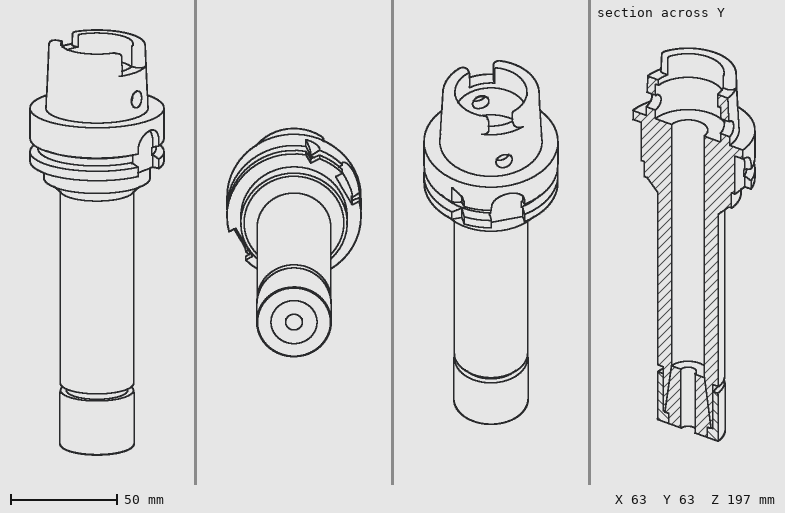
import cadquery as cq
import math


total_height = 197.0
flange_top = 165.3
flange_bottom = 139.3
collar_bottom = 131.0
shank_bottom = 30.1
nut_height = 26.5

taper_base_radius = 24.0
taper_top_radius = 22.7
rim_fillet = 1.0
drive_slot_width = 12.2
drive_slot_corner = 2.8
left_drive_slot_depth = 6.1
right_drive_slot_depth = 9.8
cross_hole_radius = 4.0
cross_hole_height = total_height - 23.0

socket_radius = 17.0
socket_straight_depth = 13.0
undercut_radius = 18.5
socket_floor = flange_top
bore_radius = 9.3

flange_radius = 31.5
groove_height = 147.2
groove_radius = 27.8
groove_mouth_width = 6.5
groove_floor_width = 3.5
keyway_radius = 8.0
keyway_arch_top = 160.2
keyway_floor = 26.8
notch_centre_y = 27.8
notch_floor = 19.9

collar_radius = 25.0
shank_radius = 17.3
cone_top_radius = 23.5
nose_radius = 14.4

nut_radius = 17.5
nut_top_chamfer_height = 1.8
nut_top_chamfer_width = 0.4
nut_edge_chamfer = 0.4
nut_floor = 6.0
nut_mouth_radius = 10.8
collet_hole_radius = 4.0
collet_shoulder_radius = 13.0
collet_half_angle = 8.0
collet_taper_length = (collet_shoulder_radius - bore_radius) / math.tan(math.radians(collet_half_angle))
collet_top = nut_floor + collet_taper_length


def revolve(profile):
    """Turn a closed (radius, height) outline around the Z axis."""
    return cq.Workplane("XZ").polyline(profile).close().revolve(360, (0, 0, 0), (0, 1, 0))


def make_taper():
    """Solid taper with a drive slot on each side and rounded slot corners."""
    taper = revolve([
        (0, flange_top),
        (taper_base_radius, flange_top),
        (taper_top_radius, total_height),
        (0, total_height),
    ])
    for side, depth in ((-1, left_drive_slot_depth), (1, right_drive_slot_depth)):
        slot = cq.Workplane("XY").box(
            2 * taper_base_radius, drive_slot_width, 2 * depth
        ).translate((side * taper_base_radius, 0, total_height))
        taper = taper.cut(slot)
    slot_mouths = cq.selectors.BoxSelector(
        (-flange_radius, -drive_slot_width, flange_top),
        (flange_radius, drive_slot_width, total_height - rim_fillet),
    )
    taper = taper.faces("|Y").edges(slot_mouths).edges("not(|X or |Y)").fillet(drive_slot_corner)
    return taper.faces(">Z").edges("%CIRCLE").fillet(rim_fillet)


def make_body():
    """Turned flange, collar, shank and nose, still without holes."""
    groove_mouth = groove_mouth_width / 2
    groove_floor = groove_floor_width / 2
    cone_bottom = collar_bottom - (cone_top_radius - shank_radius)
    return revolve([
        (0, flange_top),
        (flange_radius, flange_top),
        (flange_radius, groove_height + groove_mouth),
        (groove_radius, groove_height + groove_floor),
        (groove_radius, groove_height - groove_floor),
        (flange_radius, groove_height - groove_mouth),
        (flange_radius, flange_bottom),
        (collar_radius, flange_bottom),
        (collar_radius, collar_bottom),
        (cone_top_radius, collar_bottom),
        (shank_radius, cone_bottom),
        (shank_radius, shank_bottom),
        (nose_radius, shank_bottom),
        (nose_radius, nut_floor),
        (0, nut_floor),
    ])


def make_keyway(side, centre_y, floor):
    """Arch-topped cutter milled in along X from one side of the flange down to a flat floor."""
    arch_centre = keyway_arch_top - keyway_radius
    depth = flange_radius - floor
    leg_height = arch_centre - flange_bottom
    arch = (
        cq.Workplane("YZ")
        .center(centre_y, arch_centre)
        .circle(keyway_radius)
        .extrude(depth)
    )
    leg = (
        cq.Workplane("YZ")
        .center(centre_y, flange_bottom + leg_height / 2)
        .rect(2 * keyway_radius, leg_height)
        .extrude(depth)
    )
    start = floor if side > 0 else -flange_radius
    return arch.union(leg).translate((start, 0, 0))


def make_socket():
    """Cutter for the undercut socket in the taper and the bore that runs on to the collet."""
    undercut_top = total_height - socket_straight_depth
    return revolve([
        (0, total_height),
        (socket_radius, total_height),
        (socket_radius, undercut_top),
        (undercut_radius, undercut_top),
        (undercut_radius, socket_floor),
        (bore_radius, socket_floor),
        (bore_radius, nut_floor),
        (0, nut_floor),
    ])


def make_holder(collet):
    """Holder: taper, flange and shank, with its socket, bore, cross hole and collet seat."""
    holder = make_taper().union(make_body())
    holder = holder.cut(make_socket())
    cross_hole = (
        cq.Workplane("YZ")
        .center(0, cross_hole_height)
        .circle(cross_hole_radius)
        .extrude(flange_radius, both=True)
    )
    holder = holder.cut(cross_hole)
    for side in (-1, 1):
        holder = holder.cut(make_keyway(side, 0, keyway_floor))
    holder = holder.cut(make_keyway(-1, notch_centre_y, notch_floor))
    return holder.cut(collet).solids()


def make_nut():
    """Clamping nut: a cup around the nose with a mouth for the collet front."""
    return revolve([
        (nut_mouth_radius, 0),
        (nut_radius - nut_edge_chamfer, 0),
        (nut_radius, nut_edge_chamfer),
        (nut_radius, nut_height - nut_top_chamfer_height),
        (nut_radius - nut_top_chamfer_width, nut_height),
        (nose_radius, nut_height),
        (nose_radius, nut_floor),
        (nut_mouth_radius, nut_floor),
    ])


def make_collet():
    """Tapered collet with a straight front and a through hole."""
    return revolve([
        (collet_hole_radius, 0),
        (nut_mouth_radius, 0),
        (nut_mouth_radius, nut_floor),
        (collet_shoulder_radius, nut_floor),
        (bore_radius, collet_top),
        (collet_hole_radius, collet_top),
    ])


collet = make_collet()
nut = make_nut()
holder = make_holder(collet)

result = cq.Compound.makeCompound([holder.val(), nut.val(), collet.val()])